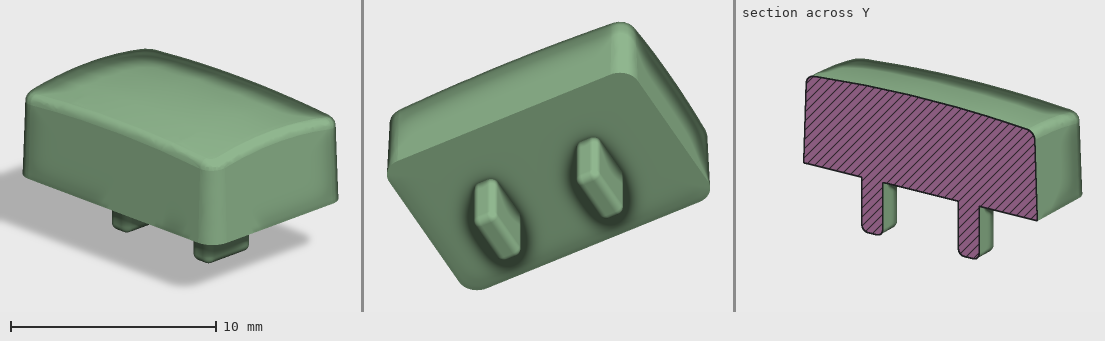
import cadquery as cq
import math


cap_length = 13.73
cap_width = 9.23
cap_height = 4.97
wall_draft = 2.0
corner_radius = 0.99
rim_fillet = 0.5

crown_radius_x = 71.4
crown_radius_y = 20.73

pin_spacing = 5.65
pin_thickness = 1.25
pin_width = 3.01
pin_length = 2.83
pin_fillet = 0.37


def make_crown():
    """Solid of revolution about an axis along X, its outer surface touching the cap's top."""
    axis_height = cap_height - crown_radius_y
    half_length = cap_length / 2
    end_drop = crown_radius_x - math.sqrt(crown_radius_x**2 - half_length**2)
    end_height = cap_height - end_drop
    return (
        cq.Workplane("XZ")
        .moveTo(-half_length, axis_height)
        .lineTo(-half_length, end_height)
        .threePointArc((0, cap_height), (half_length, end_height))
        .lineTo(half_length, axis_height)
        .close()
        .revolve(360, (0, axis_height), (1, axis_height))
    )


def make_cap():
    """Drafted block with conical corners, trimmed by the crown and rounded along its rim."""
    base = cq.Sketch().rect(cap_length, cap_width).vertices().fillet(corner_radius)
    block = cq.Workplane("XY").placeSketch(base).extrude(cap_height, taper=wall_draft)
    return block.intersect(make_crown()).faces(">Z").edges().fillet(rim_fillet)


def make_pins():
    """Two pins hanging from the underside, rounded on their sides and lower ends."""
    return (
        cq.Workplane("XY")
        .pushPoints([(-pin_spacing / 2, 0), (pin_spacing / 2, 0)])
        .rect(pin_thickness, pin_width)
        .extrude(-pin_length)
        .edges("|Z")
        .fillet(pin_fillet)
        .faces("<Z")
        .edges()
        .fillet(pin_fillet)
    )


result = make_cap().union(make_pins())